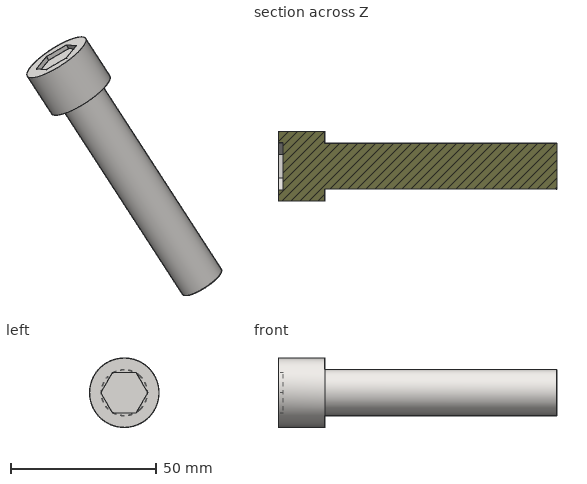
import cadquery as cq

total_length = 96.0
head_diameter = 24.0
head_length = 16.0
shank_diameter = 16.0
tip_chamfer = 0.2
socket_across_flats = 14.0
socket_depth = 1.5

head_face_x = -total_length / 2
underside_x = head_face_x + head_length


def cylinder_along_x(start_x, diameter, length):
    return cq.Workplane("YZ", origin=(start_x, 0, 0)).circle(diameter / 2).extrude(length)


head = cylinder_along_x(head_face_x, head_diameter, head_length)

shank_length = total_length - head_length
shank = cylinder_along_x(underside_x, shank_diameter, shank_length).faces(">X").chamfer(tip_chamfer)

socket_corner_diameter = socket_across_flats / 3 ** 0.5 * 2
socket = (
    cq.Workplane("YZ", origin=(head_face_x, 0, 0))
    .polygon(6, socket_corner_diameter)
    .extrude(socket_depth)
)

result = head.union(shank).cut(socket)